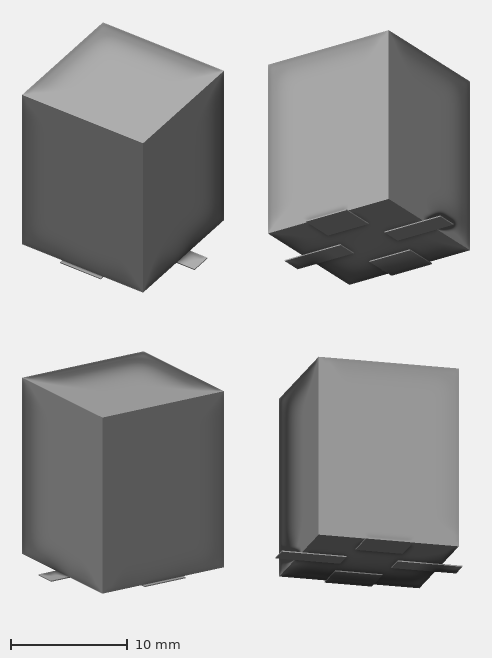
import cadquery as cq

overall_x = 16.1
overall_y = 13.15
overall_z = 16.1

housing_side = 12.5
contact_thickness = 0.1
housing_height = overall_z - contact_thickness

lead_length = 5.76
lead_width = 2.0
pad_length = 3.38
pad_width = 4.2


def make_housing():
    """Plain block whose underside rests on the contacts."""
    return (
        cq.Workplane("XY")
        .workplane(offset=contact_thickness)
        .rect(housing_side, housing_side)
        .extrude(housing_height)
    )


def make_contact(size_x, size_y, center_x, center_y):
    """Flat rectangular contact lying on the Z = 0 plane."""
    return (
        cq.Workplane("XY")
        .center(center_x, center_y)
        .rect(size_x, size_y)
        .extrude(contact_thickness)
    )


housing = make_housing()

lead_center = (overall_x - lead_length) / 2
pad_center = (overall_y - pad_length) / 2
leads = []
pads = []
for side in (-1, 1):
    lead = make_contact(lead_length, lead_width, side * lead_center, 0)
    leads.append(lead.val())
    pad = make_contact(pad_width, pad_length, 0, side * pad_center)
    pads.append(pad.val())

result = cq.Compound.makeCompound([housing.val(), *leads, *pads])